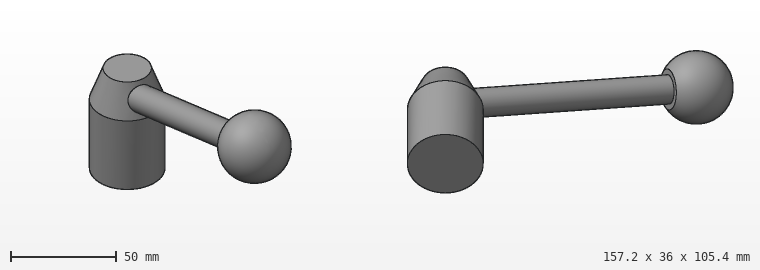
import cadquery as cq
import math

hub_diameter = 36.0
cylinder_height = 40.0
cone_height = 18.0
tilt_angle = 20.0

rod_diameter = 14.0
arm_length = 113.8

ball_diameter = 35.0
flat_diameter = 19.5

tilt = math.radians(tilt_angle)
hub_radius = hub_diameter / 2
cone_top_radius = hub_radius - cone_height * math.tan(tilt)
hub_height = cylinder_height + cone_height

ball_radius = ball_diameter / 2
flat_offset = math.sqrt(ball_radius**2 - (flat_diameter / 2) ** 2)

root_radius = (hub_radius + cone_top_radius) / 2
rod_start_z = cylinder_height + cone_height / 2 - root_radius * math.tan(tilt)
ball_distance = root_radius / math.cos(tilt) + arm_length
arm_direction = cq.Vector(math.cos(tilt), 0, math.sin(tilt))
arm_plane = cq.Plane(origin=(0, 0, rod_start_z), xDir=(0, 1, 0), normal=arm_direction)


def make_hub():
    """Cylinder and cone turned as one profile about Z."""
    return (
        cq.Workplane("XZ")
        .polyline(
            [
                (0, 0),
                (hub_radius, 0),
                (hub_radius, cylinder_height),
                (cone_top_radius, hub_height),
                (0, hub_height),
            ]
        )
        .close()
        .revolve(360, (0, 0), (0, 1))
    )


def make_rod():
    """Tilted rod from the hub axis to the ball centre."""
    return cq.Workplane(arm_plane).circle(rod_diameter / 2).extrude(ball_distance)


def make_ball():
    """Sphere turned about the arm axis, cut flat on the side facing the hub."""
    profile_plane = cq.Plane(
        origin=arm_plane.toWorldCoords((0, 0, ball_distance)),
        xDir=arm_direction,
        normal=(0, -1, 0),
    )
    return (
        cq.Workplane(profile_plane)
        .moveTo(-flat_offset, 0)
        .lineTo(-flat_offset, flat_diameter / 2)
        .threePointArc((0, ball_radius), (ball_radius, 0))
        .close()
        .revolve(360, (0, 0), (1, 0))
    )


result = make_hub().union(make_rod()).union(make_ball())